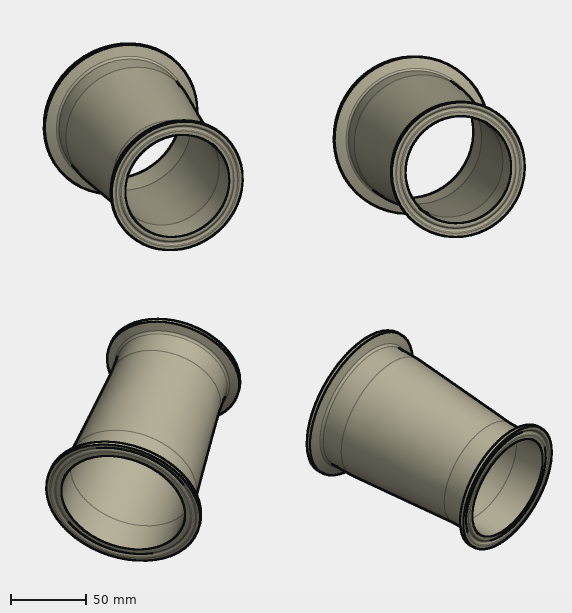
import cadquery as cq
import math

total_length = 130.0
ferrule_length = 22.9

large_flange_d = 106.0
large_outer_d = 89.0
large_bore_d = 85.2

small_flange_d = 91.0
small_outer_d = 76.3
small_bore_d = 72.3

rim_width = 2.9
clamp_angle = math.radians(20)
root_fillet = 2.0

groove_inset = 4.5
groove_half_width = 2.1
lip_radius = 1.0
floor_radius = 1.5

origin = (0, 0, 0)
x_direction = (1, 0, 0)


def revolve_about_x(profile):
    return profile.close().revolve(360, origin, x_direction)


def gasket_groove(groove_radius):
    """Ring cutter for the groove in a flange face at X = 0."""
    center_distance = lip_radius + floor_radius
    lean = math.asin(groove_half_width / center_distance)
    floor_center_x = lip_radius - center_distance * math.cos(lean)
    joint_x = floor_center_x + floor_radius * math.cos(lean)
    joint_offset = floor_radius * math.sin(lean)
    lip_mid_x = lip_radius * (1 - math.cos(lean / 2))
    lip_mid_offset = groove_half_width - lip_radius * math.sin(lean / 2)
    profile = (
        cq.Workplane("XZ")
        .moveTo(0, groove_radius - groove_half_width)
        .threePointArc(
            (lip_mid_x, groove_radius - lip_mid_offset),
            (joint_x, groove_radius - joint_offset),
        )
        .threePointArc(
            (floor_center_x + floor_radius, groove_radius),
            (joint_x, groove_radius + joint_offset),
        )
        .threePointArc(
            (lip_mid_x, groove_radius + lip_mid_offset),
            (0, groove_radius + groove_half_width),
        )
    )
    return revolve_about_x(profile)


def ferrule(flange_d, outer_d, bore_d):
    """Clamp ferrule with its sealing face at X = 0 and its pipe along +X."""
    flange_r = flange_d / 2
    outer_r = outer_d / 2
    bore_r = bore_d / 2
    corner_x = rim_width + (flange_r - outer_r) * math.tan(clamp_angle)
    turn = math.pi / 2 - clamp_angle
    tangent_length = root_fillet * math.tan(turn / 2)
    fillet_end_x = corner_x + tangent_length
    fillet_center_r = outer_r + root_fillet
    cone_end = (
        corner_x - tangent_length * math.sin(clamp_angle),
        outer_r + tangent_length * math.cos(clamp_angle),
    )
    fillet_mid = (
        fillet_end_x - root_fillet * math.sin(turn / 2),
        fillet_center_r - root_fillet * math.cos(turn / 2),
    )
    profile = (
        cq.Workplane("XZ")
        .moveTo(0, bore_r)
        .lineTo(0, flange_r)
        .lineTo(rim_width, flange_r)
        .lineTo(*cone_end)
        .threePointArc(fillet_mid, (fillet_end_x, outer_r))
        .lineTo(ferrule_length, outer_r)
        .lineTo(ferrule_length, bore_r)
    )
    return revolve_about_x(profile).cut(gasket_groove(flange_r - groove_inset))


def reducer():
    """Conical tube joining the two ferrules."""
    start_x = ferrule_length
    end_x = total_length - ferrule_length
    profile = (
        cq.Workplane("XZ")
        .moveTo(start_x, large_bore_d / 2)
        .lineTo(start_x, large_outer_d / 2)
        .lineTo(end_x, small_outer_d / 2)
        .lineTo(end_x, small_bore_d / 2)
    )
    return revolve_about_x(profile)


large_end = ferrule(large_flange_d, large_outer_d, large_bore_d)
small_end = (
    ferrule(small_flange_d, small_outer_d, small_bore_d)
    .mirror("YZ")
    .translate((total_length, 0, 0))
)

result = reducer().union(large_end).union(small_end)